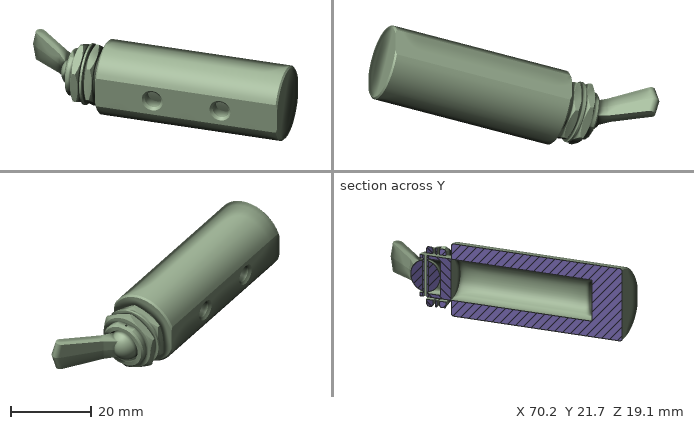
import cadquery as cq
import math


overall_length = 70.15
housing_radius = 9.55
housing_chamfer = 0.4
housing_half_flats = 8.7
bore_radius = 5.3
bore_depth = 39.3

port_positions = (15.0, 32.75)
port_radius = 2.1
port_mouth_radius = 2.75
port_countersink_depth = port_mouth_radius - port_radius

bushing_length = 8.85
bushing_radius = 6.0
bushing_half_flats = 5.5
bushing_chamfer = 0.4

ball_x = -7.2
ball_radius = 4.15
socket_radius = 4.5
pin_radius = 0.8
pin_bore_radius = 0.35

lever_tilt = 40.0
blade_base_reach = 2.1
blade_bend_reach = 6.3
blade_tip_center_reach = 17.9
blade_half_thickness = 1.5
blade_base_half_thickness = 2.2
blade_edge_inset = 0.245
blade_tip_setback = 0.85
blade_half_width = 3.9
blade_base_half_width = 2.3

lever_tip_x = ball_x - blade_tip_center_reach * math.cos(math.radians(lever_tilt)) - blade_half_thickness
housing_length = overall_length + lever_tip_x

nut_sides = 6
nut_thickness = 2.0
nut_corner_radius = 8.2
nut_chamfer_angle = 30.0
nut_front_faces = (-7.0, -3.4)
nut_turns = (34.7, 22.7)
washer_radius = 7.8
washer_thickness = 0.5
washer_front_face = -4.4


def x_cylinder(radius, start, length):
    return cq.Workplane("YZ", origin=(start, 0, 0)).circle(radius).extrude(length)


def between_flats(half_flats, start, length, normal):
    """Slab along X that keeps only what lies between two opposite flats."""
    room = 4 * housing_radius
    size_y = 2 * half_flats if normal == "Y" else room
    size_z = 2 * half_flats if normal == "Z" else room
    return cq.Workplane("XY").box(length, size_y, size_z).translate((start + length / 2, 0, 0))


def port_cutter(x):
    """Countersunk radial port from the -Y flat to the housing axis."""
    profile = [
        (0, -housing_half_flats),
        (port_mouth_radius, -housing_half_flats),
        (port_radius, -housing_half_flats + port_countersink_depth),
        (port_radius, 0),
        (0, 0),
    ]
    return cq.Workplane("XY").polyline(profile).close().revolve(360, (0, 0), (0, 1)).translate((x, 0, 0))


def make_housing():
    body = x_cylinder(housing_radius, 0, housing_length).edges().chamfer(housing_chamfer)
    body = body.intersect(between_flats(housing_half_flats, 0, housing_length, "Y"))
    body = body.cut(x_cylinder(bore_radius, 0, bore_depth))
    for x in port_positions:
        body = body.cut(port_cutter(x))
    return body


def pivot_rod(radius):
    """Rod through the ball centre, ending flush with the bushing flats."""
    rod = cq.Workplane("XY", origin=(ball_x, 0, -bushing_half_flats)).circle(radius)
    return rod.extrude(2 * bushing_half_flats)


def make_bushing():
    body = x_cylinder(bushing_radius, -bushing_length, bushing_length)
    body = body.faces("<X").edges().chamfer(bushing_chamfer)
    body = body.intersect(between_flats(bushing_half_flats, -bushing_length, bushing_length, "Z"))
    socket_depth = bushing_length + ball_x + ball_radius
    body = body.cut(x_cylinder(socket_radius, -bushing_length, socket_depth))
    return body.cut(pivot_rod(pin_radius))


def make_pin():
    return pivot_rod(pin_radius).cut(pivot_rod(pin_bore_radius))


def blade_outline(plane, inset, setback):
    """Blade outline: flared at the base, parallel beyond the bend, round at the tip."""
    half = blade_half_thickness - inset
    base_half = blade_base_half_thickness - inset
    tip_center = blade_tip_center_reach - setback
    return (
        plane.moveTo(-blade_base_reach, -base_half)
        .lineTo(-blade_bend_reach, -half)
        .lineTo(-tip_center, -half)
        .threePointArc((-tip_center - half, 0), (-tip_center, half))
        .lineTo(-blade_bend_reach, half)
        .lineTo(-blade_base_reach, base_half)
        .close()
    )


def half_blade():
    """Upper half of the blade, drafted from its middle ridge to its side face."""
    ridge = blade_outline(cq.Workplane("XY"), 0, 0)
    side_plane = ridge.workplane(offset=blade_half_width)
    return blade_outline(side_plane, blade_edge_inset, blade_tip_setback).loft(ruled=True)


def blade_width_wedge():
    """Wedge that narrows the blade from its tip to its base."""
    tip_reach = blade_tip_center_reach + blade_half_thickness
    corner_reach = tip_reach - blade_tip_setback
    corners = [
        (-blade_base_reach, -blade_base_half_width),
        (-corner_reach, -blade_half_width),
        (-tip_reach, -blade_half_width),
        (-tip_reach, blade_half_width),
        (-corner_reach, blade_half_width),
        (-blade_base_reach, blade_base_half_width),
    ]
    return cq.Workplane("XZ").polyline(corners).close().extrude(blade_base_half_thickness, both=True)


def make_lever():
    upper = half_blade()
    blade = upper.union(upper.mirror("XY")).intersect(blade_width_wedge())
    blade = blade.rotate((0, 0, 0), (0, 0, 1), -lever_tilt)
    lever = cq.Workplane("XY").sphere(ball_radius).union(blade).translate((ball_x, 0, 0))
    return lever.cut(pivot_rod(pin_radius))


def make_nut(front_face, turn):
    """Hexagon nut with both faces chamfered, threaded over the bushing."""
    hexagon = cq.Workplane("YZ").polygon(nut_sides, 2 * nut_corner_radius).extrude(nut_thickness)
    face_radius = nut_corner_radius * math.cos(math.pi / nut_sides)
    drop = (nut_corner_radius - face_radius) * math.tan(math.radians(nut_chamfer_angle))
    profile = [
        (0, 0),
        (0, face_radius),
        (drop, nut_corner_radius),
        (nut_thickness - drop, nut_corner_radius),
        (nut_thickness, face_radius),
        (nut_thickness, 0),
    ]
    envelope = cq.Workplane("XY").polyline(profile).close().revolve(360, (0, 0), (1, 0))
    nut = hexagon.intersect(envelope).cut(x_cylinder(bushing_radius, 0, nut_thickness))
    return nut.rotate((0, 0, 0), (1, 0, 0), turn).translate((front_face, 0, 0))


def make_washer():
    disc = x_cylinder(washer_radius, washer_front_face, washer_thickness)
    return disc.cut(x_cylinder(bushing_radius, washer_front_face, washer_thickness))


housing = make_housing()
bushing = make_bushing()
lever = make_lever()
pin = make_pin()
washer = make_washer()
nuts = [make_nut(face, turn) for face, turn in zip(nut_front_faces, nut_turns)]

result = cq.Compound.makeCompound([
    housing.solids().val(),
    bushing.solids().val(),
    lever.solids().val(),
    pin.solids().val(),
    washer.solids().val(),
    *[nut.solids().val() for nut in nuts],
])